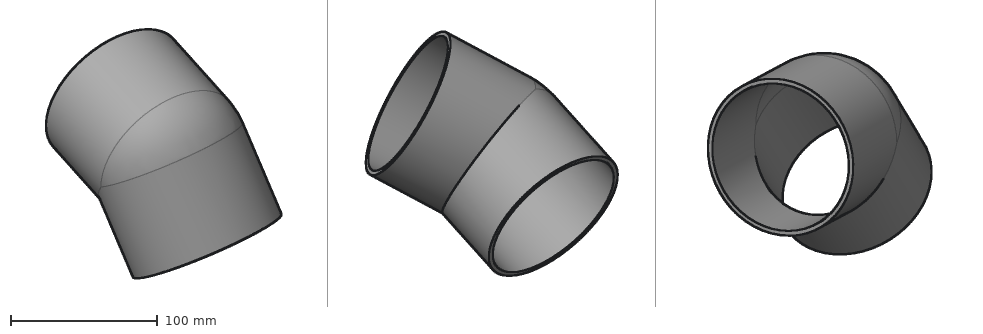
import cadquery as cq
import math

overall_length = 155.0
outer_diameter = 110.0
inner_diameter = 103.2
bend_angle = 45.0

bend = math.radians(bend_angle)
outer_radius = outer_diameter / 2
leg_length = (overall_length - outer_radius * math.sin(bend)) / (1 + math.cos(bend))

inlet_direction = cq.Vector(-1, 0, 0)
outlet_direction = cq.Vector(math.cos(bend), 0, -math.sin(bend))
joint_centre = cq.Vector(0, 0, 0)


def elbow_body(diameter):
    """Two solid cylinders meeting at the joint centre, with a ball rounding the outside of the bend."""
    radius = diameter / 2
    body = cq.Workplane("XY").sphere(radius)
    for direction in (inlet_direction, outlet_direction):
        leg = cq.Solid.makeCylinder(radius, leg_length, joint_centre, direction)
        body = body.union(cq.Workplane(obj=leg))
    return body


result = elbow_body(outer_diameter).cut(elbow_body(inner_diameter))